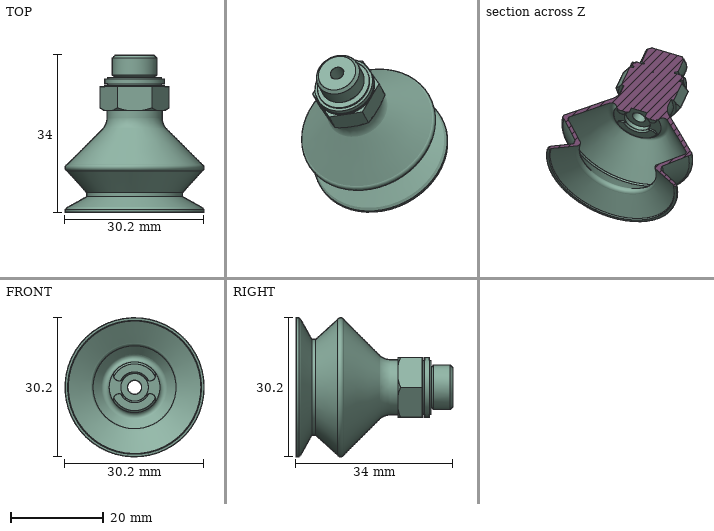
import cadquery as cq
import math

total_length = 34.0
bore_radius = 1.5

max_radius = 15.08
lip_edge_top = 0.58
lip_shoulder = (14.62, 1.05)
waist_radius = 10.4
waist_bottom = 3.4
waist_top = 4.25
fold_edge_radius = 14.62
fold_bottom = 8.9
fold_top = 10.37
neck_radius = 6.0
neck_fillet_bottom = (6.8, 18.2)
neck_fillet_middle = (6.22, 19.18)
neck_fillet_top = 20.33

lip_inner_radius = 14.5
funnel_start = (14.35, 0.3)
funnel_end = (9.55, 2.92)
throat_radius = 8.98
throat_y = 3.75
throat_entry_mid = (9.1, 3.25)
throat_exit_mid = (9.05, 4.15)
throat_exit = (9.3, 4.5)
wall = 1.02
cavity_max_radius = 13.77
cavity_fold_bottom = 9.25
boss_radius = 5.49
trough_radius = 0.935

recess_radius = 3.0
recess_depth = 1.02
crescent_height = 0.4
crescent_inner_top = 3.33
crescent_outer_top = 5.05
crescent_end_angle = 38.4

hex_bottom = 22.03
hex_top = 27.25
hex_flats = 13.0
hex_chamfer_radius = 6.65
hex_chamfer_height = 0.58

ring_radius = hex_flats / 2
ring_bottom = 27.8
ring_top = 28.85
collar_top = 27.47
groove_radius = 5.85
seat_top = 29.2
thread_radius = 4.85
thread_bottom = 29.7
undercut_radius = 4.3
undercut_top = 29.3
thread_chamfer = 0.65

inner_cone_sum = fold_edge_radius + fold_top - wall * math.sqrt(2)
diagonal = math.sqrt(0.5)
trough_center_radius = boss_radius + trough_radius
trough_edge_radius = trough_center_radius + trough_radius * diagonal
trough_edge_y = inner_cone_sum - trough_edge_radius
boss_face = trough_edge_y - trough_radius * diagonal


def revolve(profile):
    """Turn a closed (radius, y) profile about the Y axis."""
    return profile.close().revolve(360, (0, 0, 0), (0, 1, 0))


def disc(radius, start, end):
    """Cylinder on the Y axis between two stations."""
    return revolve(cq.Workplane("XY").moveTo(0, start).lineTo(radius, start).lineTo(radius, end).lineTo(0, end))


def bellows():
    fold_middle = (fold_bottom + fold_top) / 2
    return revolve(
        cq.Workplane("XY")
        .lineTo(max_radius, 0)
        .lineTo(max_radius, lip_edge_top)
        .lineTo(*lip_shoulder)
        .lineTo(waist_radius, waist_bottom)
        .lineTo(waist_radius, waist_top)
        .lineTo(fold_edge_radius, fold_bottom)
        .threePointArc((max_radius, fold_middle), (fold_edge_radius, fold_top))
        .lineTo(*neck_fillet_bottom)
        .threePointArc(neck_fillet_middle, (neck_radius, neck_fillet_top))
        .lineTo(neck_radius, hex_bottom)
        .lineTo(0, hex_bottom)
    )


def cavity():
    trough_bottom = (trough_center_radius, boss_face + trough_radius)
    return revolve(
        cq.Workplane("XY")
        .lineTo(lip_inner_radius, 0)
        .lineTo(*funnel_start)
        .lineTo(*funnel_end)
        .threePointArc(throat_entry_mid, (throat_radius, throat_y))
        .threePointArc(throat_exit_mid, throat_exit)
        .lineTo(cavity_max_radius, cavity_fold_bottom)
        .lineTo(cavity_max_radius, inner_cone_sum - cavity_max_radius)
        .lineTo(trough_edge_radius, trough_edge_y)
        .threePointArc(trough_bottom, (boss_radius, boss_face))
        .lineTo(0, boss_face)
    )


def crescents():
    """Round-ended arcs above and below the bore, with sloping long sides."""
    middle = (recess_radius + boss_radius) / 2
    end_cos = math.cos(math.radians(crescent_end_angle))
    end_sin = math.sin(math.radians(crescent_end_angle))
    end_radius = (boss_radius - recess_radius) / 2

    def on_end(radius, side):
        return (side * radius * end_cos, radius * end_sin)

    cap_x = middle * end_cos + end_radius * end_sin
    cap_z = middle * end_sin - end_radius * end_cos
    upper = (
        cq.Workplane("XZ", origin=(0, boss_face, 0))
        .moveTo(*on_end(boss_radius, 1))
        .threePointArc((0, boss_radius), on_end(boss_radius, -1))
        .threePointArc((-cap_x, cap_z), on_end(recess_radius, -1))
        .threePointArc((0, recess_radius), on_end(recess_radius, 1))
        .threePointArc((cap_x, cap_z), on_end(boss_radius, 1))
        .close()
        .extrude(crescent_height)
    )
    sloped_ring = revolve(
        cq.Workplane("XY")
        .moveTo(recess_radius, boss_face)
        .lineTo(boss_radius, boss_face)
        .lineTo(crescent_outer_top, boss_face - crescent_height)
        .lineTo(crescent_inner_top, boss_face - crescent_height)
    )
    upper = upper.intersect(sloped_ring)
    return upper.union(upper.mirror("XY"))


def hexagon():
    corner_radius = hex_flats / math.sqrt(3)
    prism = (
        cq.Workplane("XZ", origin=(0, hex_top, 0))
        .polygon(6, 2 * corner_radius)
        .extrude(hex_top - hex_bottom)
    )
    chamfered_blank = revolve(
        cq.Workplane("XY")
        .moveTo(0, hex_bottom)
        .lineTo(hex_chamfer_radius, hex_bottom)
        .lineTo(corner_radius, hex_bottom + hex_chamfer_height)
        .lineTo(corner_radius, hex_top)
        .lineTo(0, hex_top)
    )
    return prism.intersect(chamfered_blank)


def thread():
    return revolve(
        cq.Workplane("XY")
        .moveTo(0, seat_top)
        .lineTo(undercut_radius, seat_top)
        .lineTo(undercut_radius, undercut_top)
        .lineTo(thread_radius, thread_bottom)
        .lineTo(thread_radius, total_length - thread_chamfer)
        .lineTo(thread_radius - thread_chamfer, total_length)
        .lineTo(0, total_length)
    )


body = bellows().cut(cavity())
body = body.cut(disc(recess_radius, boss_face, boss_face + recess_depth))
body = body.union(crescents()).union(hexagon())
body = body.union(disc(ring_radius, hex_top, collar_top))
body = body.union(disc(groove_radius, collar_top, seat_top))
body = body.union(disc(ring_radius, ring_bottom, ring_top))
body = body.union(thread())
result = body.cut(disc(bore_radius, 0, total_length))